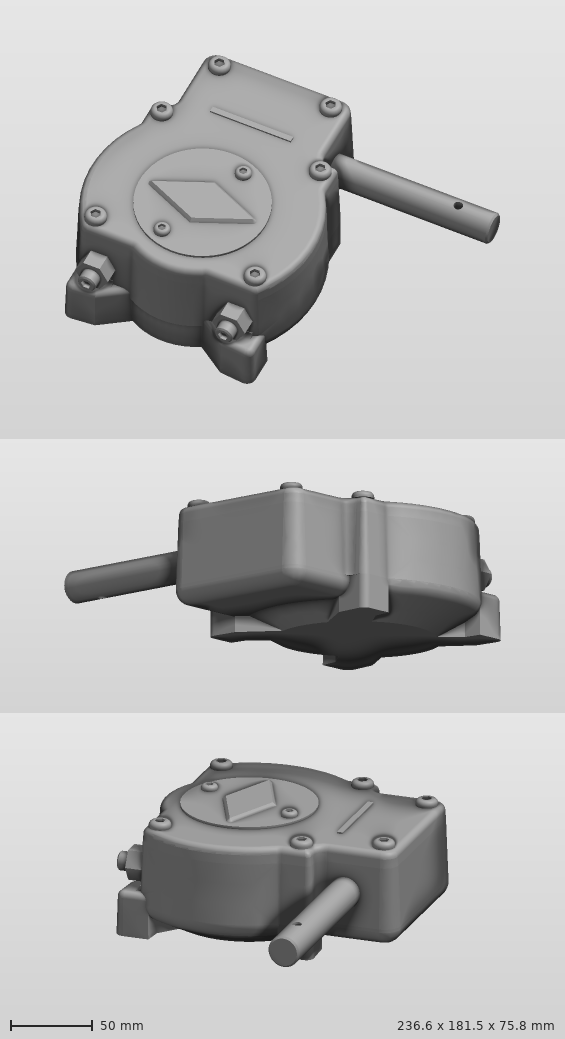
import cadquery as cq
import math

cover_top = 70.8
cover_seam = 60.8
draft_base = 21.3
worm_case_bottom = 10.0
foot_top = 28.5
shaft_height = 42.1

draft_angle = 2.2
cover_draft_angle = 4.0
wheel_case_radius = 77.6
front_flat_y = -50.2
front_bulge_radius = 47.8
front_bulge_y = -9.5
lower_bulge_step = 1.0
worm_case_width = 103.2
worm_case_back_y = 114.0
worm_case_corner = 10.5
lug_half_width = 64.5
lug_back_y = 64.4
lug_corner_radius = 4.7
lug_back_crease = 4.7
lug_side_crease = 2.8
front_corner_radius = 7.0
bulge_crease = 2.0
cover_edge_radius = 4.5
cone_base_radius = 50.0
cone_top_radius = 73.1
cone_top_z = 12.5
cone_knee = (76.5, 16.0)
worm_case_floor_radius = 9.2
foot_points = [
    (-64.5, -65.3),
    (-42.5, -63.2),
    (-19.5, -47.3),
    (-23.7, -15.9),
    (-53.0, -41.0),
    (-64.5, -42.1),
]
foot_corner_radius = 6.0
foot_edge_radius = 4.0
foot_draft_angle = 2.0
foot_root_radius = 3.3
foot_root_start_x = -58.0
foot_root_length = 21.3

shaft_diameter = 20.0
shaft_y = 81.0
shaft_end_x = 159.0
shaft_chamfer = 1.2
pin_hole_diameter = 6.0
pin_hole_x = 135.0

disc_diameter = 85.0
disc_top = 72.5
pointer_length = 80.0
pointer_tip_radius = 2.4
pointer_width = 35.5
pointer_height = 2.1
pointer_taper = 45.0
mark_length = 55.0
mark_width = 3.8
mark_y = 69.0
mark_height = 1.2

cover_screw = (14.0, 4.3, 6.9)
disc_screw = (10.5, 3.3, 5.2)
cover_screw_points = [(37.9, 101.8), (54.0, 54.0), (54.2, -38.3)]
disc_screw_point = (12.8, 30.8)
head_rounding = 0.7
head_socket_depth = 0.6

stop_x = 46.6
stop_embedding = 2.4
nut_across_flats = 19.5
nut_front_y = -59.9
stop_diameter = 12.0
stop_front_y = -67.5
stop_chamfer = 1.0
stop_socket = 6.9
socket_depth = 2.8


def half_chord(radius, offset):
    """Half length of the chord at the given distance from the circle's centre."""
    return math.sqrt(radius**2 - offset**2)


def housing_outline():
    """Plan of the housing: wheel case, worm case, two lugs and front bulge."""
    worm_case = (
        cq.Sketch()
        .push([(0, worm_case_back_y / 2)])
        .rect(worm_case_width, worm_case_back_y)
        .reset()
        .vertices(">Y")
        .fillet(worm_case_corner)
    )
    lugs = (
        cq.Sketch()
        .push([(0, lug_back_y / 2)])
        .rect(2 * lug_half_width, lug_back_y)
        .reset()
        .vertices(">Y")
        .fillet(lug_corner_radius)
    )
    outline = (
        cq.Sketch()
        .circle(wheel_case_radius)
        .push([(0, front_flat_y - wheel_case_radius)])
        .rect(3 * wheel_case_radius, 2 * wheel_case_radius, mode="s")
        .reset()
        .push([(0, front_bulge_y)])
        .circle(front_bulge_radius)
        .reset()
        .face(worm_case)
        .face(lugs)
        .clean()
        .reset()
    )
    creases = [
        (worm_case_width / 2, lug_back_y, lug_back_crease),
        (lug_half_width, half_chord(wheel_case_radius, lug_half_width), lug_side_crease),
        (half_chord(wheel_case_radius, front_flat_y), front_flat_y, front_corner_radius),
        (half_chord(front_bulge_radius, front_flat_y - front_bulge_y), front_flat_y, bulge_crease),
    ]
    for x, y, radius in creases:
        for side in (-1, 1):
            corner = cq.selectors.NearestToPointSelector((side * x, y, 0))
            outline = outline.vertices(corner).fillet(radius).reset()
    return outline


def upper_housing():
    """Drafted walls up to the flat cover, with a rounded cover edge."""
    walls = cq.Workplane("XY", origin=(0, 0, draft_base)).placeSketch(housing_outline())
    body = walls.extrude(cover_seam - draft_base, taper=draft_angle)
    cover = body.faces(">Z").wires().toPending()
    body = cover.extrude(cover_top - cover_seam, taper=cover_draft_angle)
    return body.faces(">Z").edges().fillet(cover_edge_radius)


def wheel_case_floor():
    """Conical underside of the wheel case, cut flat in front, and the bulge below it."""
    cone = (
        cq.Workplane("XZ")
        .lineTo(cone_base_radius, 0)
        .lineTo(cone_top_radius, cone_top_z)
        .threePointArc(cone_knee, (wheel_case_radius, draft_base))
        .lineTo(0, draft_base)
        .close()
        .revolve(360, (0, 0), (0, 1))
    )
    in_front = (
        cq.Workplane("XY")
        .center(0, front_flat_y - wheel_case_radius / 2)
        .rect(2 * wheel_case_radius, wheel_case_radius)
        .extrude(draft_base)
    )
    bulge_radius = front_bulge_radius - lower_bulge_step
    bulge_half_width = half_chord(bulge_radius, front_flat_y - front_bulge_y)
    bulge = (
        cq.Workplane("XY")
        .lineTo(-bulge_half_width, front_flat_y)
        .threePointArc((0, front_bulge_y - bulge_radius), (bulge_half_width, front_flat_y))
        .close()
        .extrude(draft_base)
    )
    return cone.cut(in_front).union(bulge)


def worm_case_floor():
    """Rounded underside of the worm case, running forward into the wheel case."""
    return (
        cq.Workplane("XY", origin=(0, worm_case_back_y / 2, worm_case_bottom))
        .rect(worm_case_width, worm_case_back_y)
        .extrude(draft_base - worm_case_bottom)
        .edges("|Z and >Y")
        .fillet(worm_case_corner)
        .faces("<Z")
        .edges("not <Y")
        .fillet(worm_case_floor_radius)
    )


def front_foot():
    """Left front foot, with a hollow fillet where its top meets the front face."""
    outline = cq.Sketch().polygon(foot_points + foot_points[:1]).vertices("<Y").fillet(foot_corner_radius)
    foot = (
        cq.Workplane("XY")
        .placeSketch(outline)
        .extrude(foot_top, taper=foot_draft_angle)
        .faces(">Z")
        .edges()
        .fillet(foot_edge_radius)
    )
    root_front_y = front_flat_y - foot_root_radius
    root_top = foot_top + foot_root_radius
    root_mid = foot_root_radius * (1 - math.sqrt(0.5))
    root = (
        cq.Workplane("YZ", origin=(foot_root_start_x, 0, 0))
        .moveTo(root_front_y, foot_top)
        .threePointArc((front_flat_y - root_mid, foot_top + root_mid), (front_flat_y, root_top))
        .lineTo(front_flat_y + foot_root_radius, root_top)
        .lineTo(front_flat_y + foot_root_radius, foot_top - foot_root_radius)
        .lineTo(root_front_y, foot_top - foot_root_radius)
        .close()
        .extrude(foot_root_length)
    )
    return foot.union(root)


def rear_foot():
    """Left rear foot below the lug, ending where the drafted walls begin."""
    return (
        cq.Workplane("XY")
        .polyline([(x, min(-y, lug_back_y)) for x, y in foot_points])
        .close()
        .extrude(draft_base)
        .edges("|Z and <X")
        .edges(">Y")
        .fillet(lug_corner_radius)
    )


def button_head(size, x, y, z):
    """Domed screw head with a hexagon socket, seated at the given point."""
    diameter, height, socket = size
    head = (
        cq.Workplane("XY", origin=(x, y, z))
        .circle(diameter / 2)
        .extrude(height)
        .faces(">Z")
        .edges()
        .fillet(head_rounding * height)
    )
    return head.faces(">Z").workplane().polygon(6, socket).cutBlind(-head_socket_depth * height)


def pointer():
    """Diamond with sloping sides on the indicator disc."""
    half_length = pointer_length / 2
    half_width = pointer_width / 2
    diamond = [(half_length, 0), (0, half_width), (-half_length, 0), (0, -half_width), (half_length, 0)]
    outline = cq.Sketch().polygon(diamond).vertices("<X or >X").fillet(pointer_tip_radius)
    return (
        cq.Workplane("XY", origin=(0, 0, disc_top))
        .placeSketch(outline)
        .extrude(pointer_height, taper=pointer_taper)
    )


def shaft():
    """Input shaft with a chamfered end and a vertical pin hole."""
    return (
        cq.Workplane("YZ", origin=(0, shaft_y, shaft_height))
        .circle(shaft_diameter / 2)
        .extrude(shaft_end_x)
        .faces(">X")
        .chamfer(shaft_chamfer)
        .cut(
            cq.Workplane("XY")
            .center(pin_hole_x, shaft_y)
            .circle(pin_hole_diameter / 2)
            .extrude(cover_top)
        )
    )


def stop_screw(x):
    """Socket set screw with its lock nut, pointing out of the front face."""
    rear_y = front_flat_y + stop_embedding
    section = cq.Workplane("XZ", origin=(x, rear_y, shaft_height))
    nut_across_corners = nut_across_flats / math.cos(math.pi / 6)
    nut = section.polygon(6, nut_across_corners).extrude(rear_y - nut_front_y)
    screw = (
        section.circle(stop_diameter / 2)
        .extrude(rear_y - stop_front_y)
        .faces("<Y")
        .chamfer(stop_chamfer)
        .faces("<Y")
        .workplane()
        .polygon(6, stop_socket)
        .cutBlind(-socket_depth)
    )
    return nut.union(screw)


result = upper_housing().union(wheel_case_floor()).union(worm_case_floor())
for foot in (front_foot(), rear_foot()):
    result = result.union(foot).union(foot.mirror("YZ"))

cover_face = cq.Workplane("XY", origin=(0, 0, cover_top))
disc = cover_face.circle(disc_diameter / 2).extrude(disc_top - cover_top)
scale_mark = cover_face.center(0, mark_y).rect(mark_length, mark_width).extrude(mark_height)
result = result.union(disc).union(pointer()).union(scale_mark)

for x, y in cover_screw_points:
    for side in (-1, 1):
        result = result.union(button_head(cover_screw, side * x, y, cover_top))

disc_screw_x, disc_screw_y = disc_screw_point
for side in (-1, 1):
    result = result.union(button_head(disc_screw, side * disc_screw_x, side * disc_screw_y, disc_top))
    result = result.union(stop_screw(side * stop_x))

result = result.union(shaft())